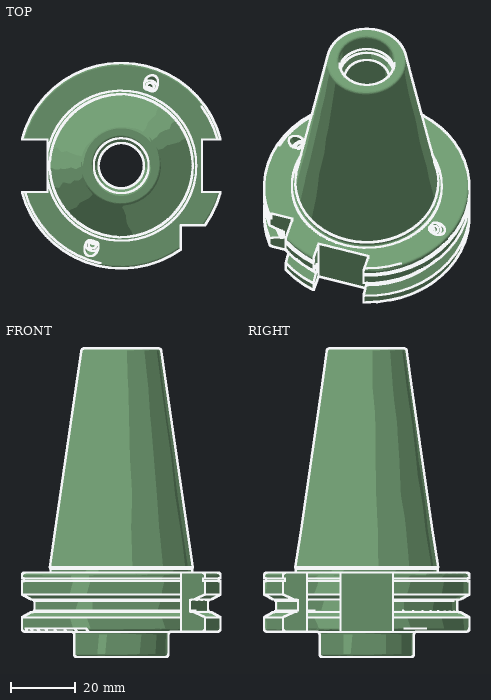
import cadquery as cq
import math


total_height = 95.4
flange_radius = 31.8
flange_bottom = 7.8
flange_top = 26.1
edge_fillet = 1.0
cut_margin = 1.0

spigot_radius = 14.6
spigot_root_fillet = 0.9

taper_ratio = 7 / 24
gauge_plane = 27.8
gauge_radius = 22.1
taper_top_radius = gauge_radius - (total_height - gauge_plane) * taper_ratio / 2

neck_radius = 21.9
neck_top = 27.2
relief_radius = 23.2
relief_depth = 0.6
relief_fillet = 0.8
relief_floor = flange_top - relief_depth

groove_middle = 15.8
groove_floor_radius = 28.0
groove_floor_half = 1.9
groove_mouth_half = 3.5
groove_flank_angle = 30
groove_flank_run = (groove_mouth_half - groove_floor_half) / math.tan(math.radians(groove_flank_angle))
groove_flank_radius = flange_radius - groove_flank_run
groove_fillet = 0.5

rim_groove_bottom = 23.5
rim_groove_top = 24.3
rim_groove_depth = 0.6

slot_width = 16.1
slot_floor_left = -22.8
slot_floor_right = 25.0
notch_corner = 18.4

bore_radius = 7.0
counterbore_radius = 8.5
counterbore_depth = 6.1
undercut_depth = 8.2
undercut_fillet = 0.5
undercut_radius = counterbore_radius + undercut_fillet
undercut_flank_angle = 30
undercut_flank_height = undercut_fillet / math.tan(math.radians(undercut_flank_angle))
cone_bottom_depth = 9.9

coolant_circle_radius = 27.0
coolant_direction = 70
coolant_tilt = 37
coolant_radius = 2.1
screw_depth = 1.3
socket_radius = 1.1
socket_depth = 2.3
socket_tip_angle = 118


def ring(inner_radius, outer_radius, bottom, top):
    """Solid ring around Z between two heights."""
    return (
        cq.Workplane("XY")
        .workplane(offset=bottom)
        .circle(outer_radius)
        .circle(inner_radius)
        .extrude(top - bottom)
    )


def revolve(profile):
    """Turn a closed (radius, height) profile around the Z axis."""
    return profile.close().revolve(360, (0, 0, 0), (0, 1, 0))


def make_spigot():
    spigot = cq.Workplane("XY").circle(spigot_radius).extrude(flange_bottom)
    return spigot.faces("<Z").edges().fillet(edge_fillet)


def make_spigot_root():
    """Concave fillet where the spigot meets the underside of the flange."""
    start = flange_bottom - spigot_root_fillet
    return revolve(
        cq.Workplane("XZ")
        .moveTo(0, start)
        .lineTo(spigot_radius, start)
        .radiusArc((spigot_radius + spigot_root_fillet, flange_bottom), spigot_root_fillet)
        .lineTo(0, flange_bottom)
    )


def make_flange():
    disc = (
        cq.Workplane("XY")
        .workplane(offset=flange_bottom)
        .circle(flange_radius)
        .extrude(flange_top - flange_bottom)
        .edges()
        .fillet(edge_fillet)
    )
    rim_groove = ring(
        flange_radius - rim_groove_depth, flange_radius + cut_margin, rim_groove_bottom, rim_groove_top
    )
    relief = ring(neck_radius, relief_radius, relief_floor, flange_top)
    return disc.cut(rim_groove).cut(make_gripper_groove()).cut(relief)


def make_gripper_groove():
    """Cutter with sloped flanks that step in to a filleted flat floor."""
    floor_bottom = groove_middle - groove_floor_half
    floor_top = groove_middle + groove_floor_half
    cutter = revolve(
        cq.Workplane("XZ")
        .moveTo(groove_floor_radius, floor_bottom)
        .lineTo(groove_flank_radius, floor_bottom)
        .lineTo(flange_radius, groove_middle - groove_mouth_half)
        .lineTo(flange_radius + cut_margin, groove_middle - groove_mouth_half)
        .lineTo(flange_radius + cut_margin, groove_middle + groove_mouth_half)
        .lineTo(flange_radius, groove_middle + groove_mouth_half)
        .lineTo(groove_flank_radius, floor_top)
        .lineTo(groove_floor_radius, floor_top)
    )
    floor_edges = cq.selectors.RadiusNthSelector(0)
    return cutter.edges(floor_edges).fillet(groove_fillet)


def make_taper():
    """Taper and neck, reaching down to the relief floor with a concave fillet."""
    taper = revolve(
        cq.Workplane("XZ")
        .moveTo(0, relief_floor)
        .lineTo(neck_radius + relief_fillet, relief_floor)
        .radiusArc((neck_radius, relief_floor + relief_fillet), relief_fillet)
        .lineTo(neck_radius, neck_top)
        .lineTo(gauge_radius, gauge_plane)
        .lineTo(taper_top_radius, total_height)
        .lineTo(0, total_height)
    )
    return taper.faces(">Z").edges().fillet(edge_fillet)


def make_bore():
    """Through bore with a rounded counterbore, a filleted undercut and a cone below it."""
    wall_top = total_height - edge_fillet
    counterbore_floor = total_height - counterbore_depth
    undercut_floor = total_height - undercut_depth
    return revolve(
        cq.Workplane("XZ")
        .moveTo(0, 0)
        .lineTo(bore_radius, 0)
        .lineTo(bore_radius, total_height - cone_bottom_depth)
        .lineTo(counterbore_radius, undercut_floor)
        .radiusArc((undercut_radius, undercut_floor + undercut_fillet), -undercut_fillet)
        .lineTo(undercut_radius, counterbore_floor - undercut_flank_height)
        .lineTo(counterbore_radius, counterbore_floor)
        .lineTo(counterbore_radius, wall_top)
        .radiusArc((counterbore_radius + edge_fillet, total_height), edge_fillet)
        .lineTo(0, total_height)
    )


def make_block(x_min, x_max, y_min, y_max):
    """Cutter through the full flange thickness."""
    return (
        cq.Workplane("XY")
        .workplane(offset=flange_bottom)
        .center((x_min + x_max) / 2, (y_min + y_max) / 2)
        .rect(x_max - x_min, y_max - y_min)
        .extrude(flange_top - flange_bottom)
    )


def make_coolant_hole(direction):
    """Hole in the flange face that leans toward the axis as it goes down."""
    angle = math.radians(direction)
    tilt = math.radians(coolant_tilt)
    outward = cq.Vector(math.cos(angle), math.sin(angle), 0)
    mouth = outward * coolant_circle_radius + cq.Vector(0, 0, flange_top)
    inward_axis = outward * -math.sin(tilt) - cq.Vector(0, 0, math.cos(tilt))
    overshoot = 2 * coolant_radius
    hole = cq.Solid.makeCylinder(
        coolant_radius, screw_depth + overshoot, mouth - inward_axis * overshoot, inward_axis
    )
    socket_start = mouth + inward_axis * screw_depth
    socket = cq.Solid.makeCylinder(socket_radius, socket_depth, socket_start, inward_axis)
    tip_height = socket_radius / math.tan(math.radians(socket_tip_angle / 2))
    tip_start = socket_start + inward_axis * socket_depth
    tip = cq.Solid.makeCone(socket_radius, 0, tip_height, tip_start, inward_axis)
    return cq.Workplane(obj=hole.fuse(socket, tip))


half_slot = slot_width / 2
left_slot = make_block(-flange_radius, slot_floor_left, -half_slot, half_slot)
right_slot = make_block(slot_floor_right, flange_radius, -half_slot, half_slot)
notch = make_block(notch_corner, flange_radius, -flange_radius, -notch_corner)

result = make_flange().cut(left_slot).cut(right_slot).cut(notch)
result = result.union(make_spigot()).union(make_spigot_root()).union(make_taper())
result = result.cut(make_bore())
for turn in (0, 180):
    result = result.cut(make_coolant_hole(coolant_direction + turn))